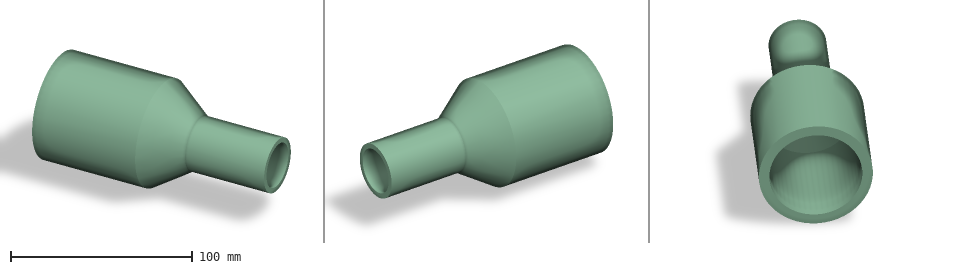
import cadquery as cq

large_outer_diameter = 63.0
large_bore_diameter = 51.4
small_outer_diameter = 32.0
small_bore_diameter = 26.0

large_length = 64.0
cone_length = 23.0
small_length = 49.0

cone_start = large_length
cone_end = cone_start + cone_length
total_length = cone_end + small_length


def stepped_cone(large_diameter, small_diameter):
    """Solid of revolution about X: large cylinder, cone, small cylinder."""
    large_radius = large_diameter / 2
    small_radius = small_diameter / 2
    half_profile = (
        cq.Workplane("XY")
        .moveTo(0, 0)
        .lineTo(0, large_radius)
        .lineTo(cone_start, large_radius)
        .lineTo(cone_end, small_radius)
        .lineTo(total_length, small_radius)
        .lineTo(total_length, 0)
        .close()
    )
    return half_profile.revolve(360, (0, 0, 0), (1, 0, 0))


body = stepped_cone(large_outer_diameter, small_outer_diameter)
bore = stepped_cone(large_bore_diameter, small_bore_diameter)
result = body.cut(bore)